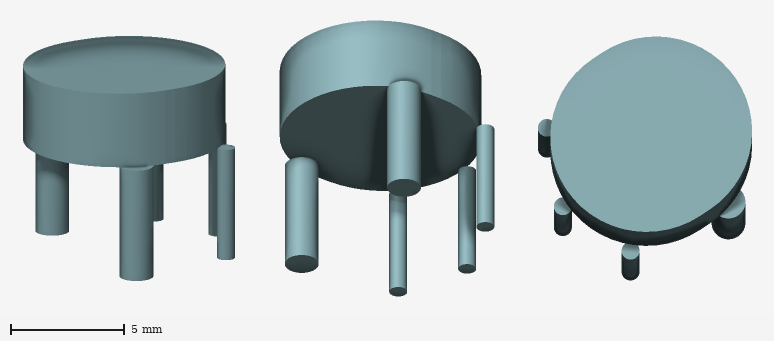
import cadquery as cq
import math

OVERALL_LENGTH = 9.6

HOUSING_WIDTH = 8.51
FLAT_LENGTH = 0.5
HOUSING_HEIGHT = 3.4
HOUSING_LENGTH = HOUSING_WIDTH + FLAT_LENGTH

PIN_LENGTH = 5.1
SMALL_PIN_DIAMETER = 0.8
SMALL_PIN_CIRCLE_RADIUS = OVERALL_LENGTH - HOUSING_LENGTH / 2 - SMALL_PIN_DIAMETER / 2
SMALL_PIN_ANGLES = (45, 90, 135)
LARGE_PIN_DIAMETER = 1.5
LARGE_PIN_SPACING = 7.8
LARGE_PIN_Y = -1.5


def make_housing():
    """Two half-cylinders joined by short flats, resting on the pin tops."""
    return (
        cq.Workplane("XY", origin=(0, 0, PIN_LENGTH))
        .slot2D(HOUSING_LENGTH, HOUSING_WIDTH, angle=90)
        .extrude(HOUSING_HEIGHT)
    )


def make_pin(diameter, x, y):
    """A plain round pin from Z = 0 up to the underside of the housing."""
    return cq.Workplane("XY").center(x, y).circle(diameter / 2).extrude(PIN_LENGTH)


housing = make_housing()

small_pins = []
for angle in SMALL_PIN_ANGLES:
    x = SMALL_PIN_CIRCLE_RADIUS * math.cos(math.radians(angle))
    y = SMALL_PIN_CIRCLE_RADIUS * math.sin(math.radians(angle))
    small_pins.append(make_pin(SMALL_PIN_DIAMETER, x, y))

large_pins = []
for side in (-1, 1):
    large_pins.append(make_pin(LARGE_PIN_DIAMETER, side * LARGE_PIN_SPACING / 2, LARGE_PIN_Y))

result = cq.Compound.makeCompound(
    [housing.val()] + [pin.val() for pin in small_pins + large_pins]
)